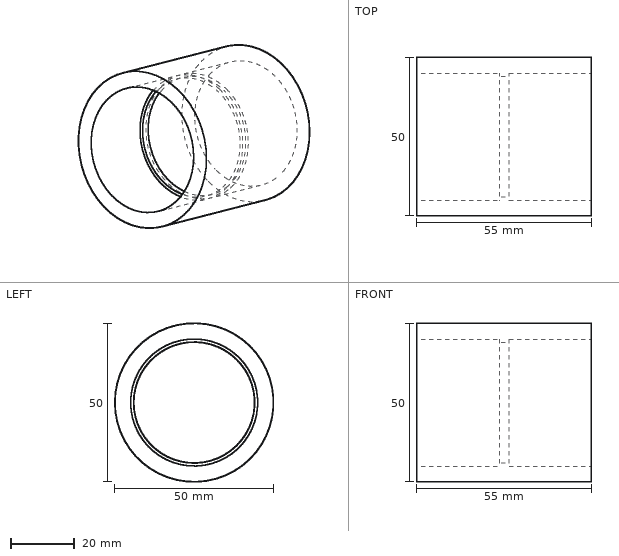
import cadquery as cq

length = 55.0
outer_diameter = 50.0
socket_diameter = 40.0
stop_diameter = 38.0
stop_width = 3.0
socket_depth = (length - stop_width) / 2


def cylinder_along_x(diameter, start, depth):
    """Solid cylinder on the X axis, running from start in +X."""
    return cq.Workplane("YZ", origin=(start, 0, 0)).circle(diameter / 2).extrude(depth)


left_end = -length / 2
right_socket_start = left_end + socket_depth + stop_width

result = cylinder_along_x(outer_diameter, left_end, length)

result = result.cut(cylinder_along_x(stop_diameter, left_end, length))

for socket_start in (left_end, right_socket_start):
    result = result.cut(cylinder_along_x(socket_diameter, socket_start, socket_depth))